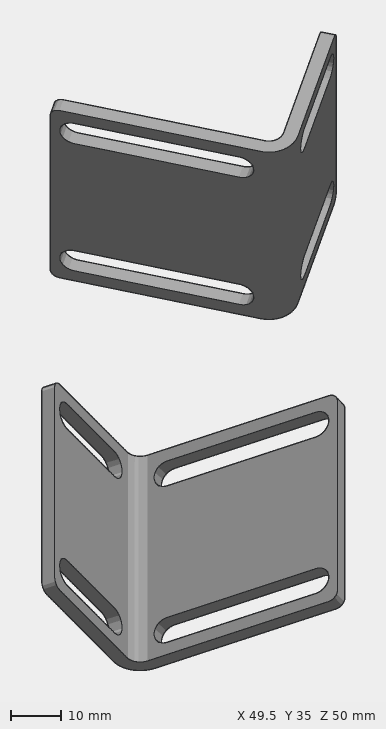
import cadquery as cq

width = 49.5
depth = 35.0
height = 50.0

thickness = 3.0
inner_bend_radius = 3.0
outer_bend_radius = inner_bend_radius + thickness
corner_radius = 2.0

slot_width = 6.0
slot_end_margin = 2.0
slot_edge_margin = 3.0
front_slot_length = 40.0
side_slot_length = 25.0
slot_offset = height / 2 - slot_edge_margin - slot_width / 2


def bent_sheet():
    """L-shaped sheet: front leg along X, side leg along Y at the +X end."""
    sheet = (
        cq.Workplane("XY")
        .moveTo(0, 0)
        .lineTo(width, 0)
        .lineTo(width, depth)
        .lineTo(width - thickness, depth)
        .lineTo(width - thickness, thickness)
        .lineTo(0, thickness)
        .close()
        .extrude(height)
    )
    outer_edge = cq.selectors.NearestToPointSelector((width, 0, height / 2))
    inner_edge = cq.selectors.NearestToPointSelector((width - thickness, thickness, height / 2))
    sheet = sheet.edges("|Z").edges(inner_edge).fillet(inner_bend_radius)
    return sheet.edges("|Z").edges(outer_edge).fillet(outer_bend_radius)


def round_free_corners(sheet):
    """Round the top and bottom corners at the free end of each leg."""
    sheet = sheet.faces("<X").edges("|Y").fillet(corner_radius)
    return sheet.faces(">Y").edges("|X").fillet(corner_radius)


def slot_pair(plane, center, length):
    """Cutters for two horizontal slots, mirrored about mid-height."""
    return (
        cq.Workplane(plane, origin=center)
        .pushPoints([(0, -slot_offset), (0, slot_offset)])
        .slot2D(length, slot_width)
        .extrude(thickness, both=True)
    )


front_slot_center = (slot_end_margin + front_slot_length / 2, thickness / 2, height / 2)
side_slot_center = (
    width - thickness / 2,
    depth - slot_end_margin - side_slot_length / 2,
    height / 2,
)

bracket = round_free_corners(bent_sheet())
bracket = bracket.cut(slot_pair("XZ", front_slot_center, front_slot_length))
result = bracket.cut(slot_pair("YZ", side_slot_center, side_slot_length))